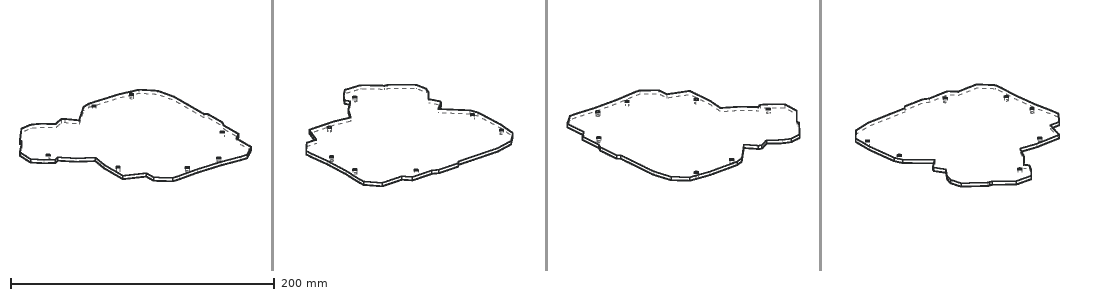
import cadquery as cq

width = 145.2
length = 156.6
thickness = 3.0
hole_diameter = 3.0

upper_edge = 154.3
corner_shelf = 148.2
lower_shelf = 56.0
lower_edge = 39.0
shelf_end = 135.8
waist = width - 1.4
left_corner = 2.3

top_side = [
    (0, 122.8),
    (left_corner, 140.3),
    (12.2, 150.5),
    (28.3, upper_edge),
    (66.4, upper_edge),
    (68.6, length),
    (87.4, length),
    (92.2, upper_edge),
    (111.2, upper_edge),
    (116.7, corner_shelf),
    (shelf_end, corner_shelf),
]
right_side = [
    (width, 137.3),
    (width, 131.4),
    (waist, 113.7),
    (waist, 91.1),
    (width, 73.1),
    (width, 67.2),
    (shelf_end, lower_shelf),
    (126.4, lower_shelf),
    (119.7, lower_edge),
    (95.7, lower_edge),
    (81.1, 41.3),
]
lower_lobe = [
    (73.3, 28.7),
    (63.6, 18.6),
    (65.8, 14.7),
    (60.9, 7.4),
    (54.0, 0),
    (39.2, 0.8),
    (25.5, 12.8),
    (23.6, 13.6),
    (22.5, 13.2),
    (21.3, 14.0),
    (5.8, 26.8),
    (4.2, 36.8),
    (7.0, 43.5),
    (14.4, 52.8),
]
left_side = [
    (9.9, 61.4),
    (11.1, 63.7),
    (19.7, 71.0),
    (left_corner, 88.0),
    (0, 94.7),
]

left_hole_x = 5.8
hole_centres = [
    (left_hole_x, 130.8),
    (left_hole_x, 95.4),
    (101.3, 146.3),
    (137.0, 116.5),
    (136.5, 87.4),
    (105.0, 45.1),
    (56.0, 15.0),
]

outline = top_side + right_side + lower_lobe + left_side
plate = cq.Workplane("XY").polyline(outline).close().extrude(thickness)
holes = (
    cq.Workplane("XY")
    .pushPoints(hole_centres)
    .circle(hole_diameter / 2)
    .extrude(thickness)
)
result = plate.cut(holes)